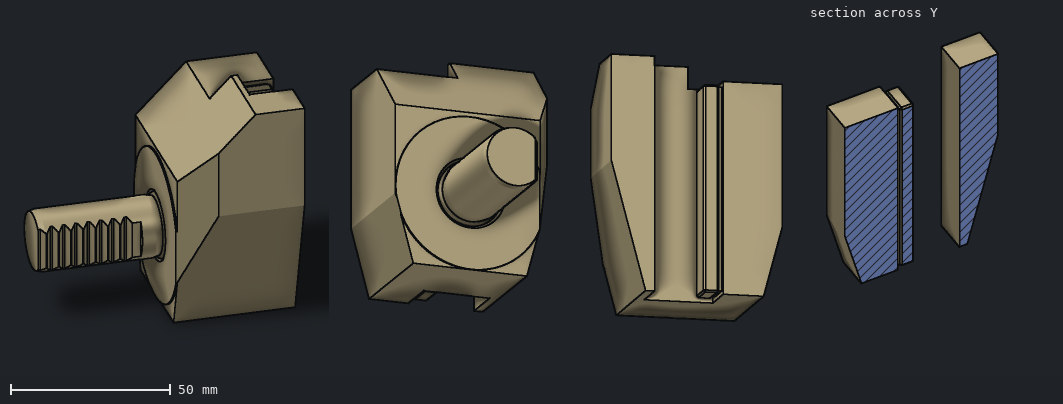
import cadquery as cq
import math


flange_diameter = 50.0
flange_height = 0.5
body_left = flange_diameter / 2
body_bottom = flange_diameter / 2
body_right = 30.0
body_top = 50.0
body_back = 40.0
bottom_width = 38.0
bottom_half_width = bottom_width / 2
side_taper = math.radians(15)
top_flat_start_y = 24.0
corner_bevel_y = 12.0
corner_bevel = math.radians(30)
step_x = 2.0
step_drop = 7.0
step_z = body_top - step_drop

slot_left = -5.9
slot_width = 22.0
slot_floor_y = 26.0

bar_thickness = 4.9
bar_neck_length = 1.0
bar_width = 10.2
bar_center_y = 33.4
bar_inset = 0.9
bar_chamfer = 0.6

shank_diameter = 20.0
shank_length = 40.0
neck_diameter = 19.1
neck_length = 0.6
lead_in_length = 1.8
tip_chamfer_length = 2.0
tip_chamfer = math.radians(15)

seal_thickness = 2.1
seal_proud = 0.3
recess_diameter = 23.0
recess_wall = math.radians(30)
recess_depth = seal_thickness - seal_proud

flat_x = 8.0
flat_start = 7.0
tooth_pitch = 4.0
tooth_depth = 1.5
root_width = 0.6
first_root = 11.7
root_count = 8


def extrude_up(points):
    """Prism over the block height from an XY outline."""
    height = body_bottom + body_top
    return cq.Workplane("XY", origin=(0, 0, -body_bottom)).polyline(points).close().extrude(height)


def box(x_range, y_range, z_range):
    size = [high - low for low, high in (x_range, y_range, z_range)]
    corner = (x_range[0], y_range[0], z_range[0])
    return cq.Workplane("XY").box(*size, centered=False).translate(corner)


def make_block():
    left_rise = (body_left - bottom_half_width) / math.tan(side_taper)
    right_rise = (body_right - bottom_half_width) / math.tan(side_taper)
    front_outline = [
        (-bottom_half_width, -body_bottom),
        (bottom_half_width, -body_bottom),
        (body_right, right_rise - body_bottom),
        (body_right, body_top),
        (step_x, body_top),
        (step_x, step_z),
        (-body_left, step_z),
        (-body_left, left_rise - body_bottom),
    ]
    block = cq.Workplane("XZ", origin=(0, body_back, 0)).polyline(front_outline).close().extrude(body_back)

    side_outline = [
        (0, -body_bottom),
        (body_back, -body_bottom),
        (body_back, body_top),
        (top_flat_start_y, body_top),
        (0, body_top - top_flat_start_y),
    ]
    side_prism = (
        cq.Workplane("YZ", origin=(-body_left, 0, 0))
        .polyline(side_outline).close().extrude(body_left + body_right)
    )

    plan_outline = [
        (-body_left, 0),
        (body_right - corner_bevel_y * math.tan(corner_bevel), 0),
        (body_right, corner_bevel_y),
        (body_right, body_back),
        (-body_left, body_back),
    ]
    block = block.intersect(side_prism).intersect(extrude_up(plan_outline))

    cover_size = 2 * (body_top + body_right)
    outside_flange = (
        cq.Workplane("XZ", origin=(0, flange_height, 0))
        .rect(cover_size, cover_size).circle(flange_diameter / 2).extrude(flange_height)
    )
    return block.cut(outside_flange)


def make_slot():
    return box(
        (slot_left, slot_left + slot_width),
        (slot_floor_y, body_back),
        (-body_bottom, body_top),
    )


def make_clamping_bar():
    bar_left = slot_left + bar_neck_length
    half_width = bar_width / 2
    neck_half_width = half_width - bar_chamfer
    bottom = bar_inset - body_bottom
    top = step_z - bar_inset
    bar = box(
        (bar_left, bar_left + bar_thickness),
        (bar_center_y - half_width, bar_center_y + half_width),
        (bottom, top),
    ).edges().chamfer(bar_chamfer)
    neck = box(
        (slot_left, bar_left),
        (bar_center_y - neck_half_width, bar_center_y + neck_half_width),
        (bottom + bar_chamfer, top - bar_chamfer),
    )
    return bar.union(neck)


def make_recess():
    floor_radius = recess_diameter / 2 - recess_depth * math.tan(recess_wall)
    profile = [
        (0, 0),
        (recess_diameter / 2, 0),
        (floor_radius, recess_depth),
        (0, recess_depth),
    ]
    return cq.Workplane("XY").polyline(profile).close().revolve(360, (0, 0, 0), (0, 1, 0))


def make_seal_ring():
    section_radius = seal_thickness / 2
    return (
        cq.Workplane("XY")
        .center(neck_diameter / 2, section_radius - seal_proud).circle(section_radius)
        .revolve(360, (-neck_diameter / 2, 0, 0), (-neck_diameter / 2, 1, 0))
    )


def make_shank():
    radius = shank_diameter / 2
    neck_radius = neck_diameter / 2
    cone_end = neck_length + lead_in_length
    tip_radius = radius - tip_chamfer_length * math.tan(tip_chamfer)
    profile = [
        (0, recess_depth),
        (neck_radius, recess_depth),
        (neck_radius, -neck_length),
        (radius, -cone_end),
        (radius, tip_chamfer_length - shank_length),
        (tip_radius, -shank_length),
        (0, -shank_length),
    ]
    return cq.Workplane("XY").polyline(profile).close().revolve(360, (0, 0, 0), (0, 1, 0))


def make_tooth_cutter():
    """Removes the flat and the row of 90 degree tooth gaps along it."""
    shank_radius = shank_diameter / 2
    cutter = box(
        (flat_x, shank_radius),
        (-shank_length, -flat_start),
        (-shank_radius, shank_radius),
    )
    root_half = root_width / 2
    mouth_half = root_half + tooth_depth
    for index in range(root_count):
        gap_y = -first_root - index * tooth_pitch
        gap_outline = [
            (flat_x, gap_y - mouth_half),
            (flat_x, gap_y + mouth_half),
            (flat_x - tooth_depth, gap_y + root_half),
            (flat_x - tooth_depth, gap_y - root_half),
        ]
        gap = (
            cq.Workplane("XY", origin=(0, 0, -shank_radius))
            .polyline(gap_outline).close().extrude(shank_diameter)
        )
        cutter = cutter.union(gap)
    return cutter


holder = make_block().cut(make_slot()).cut(make_recess())
shank = make_shank().cut(make_tooth_cutter())
result = holder.union(shank).union(make_seal_ring()).union(make_clamping_bar())